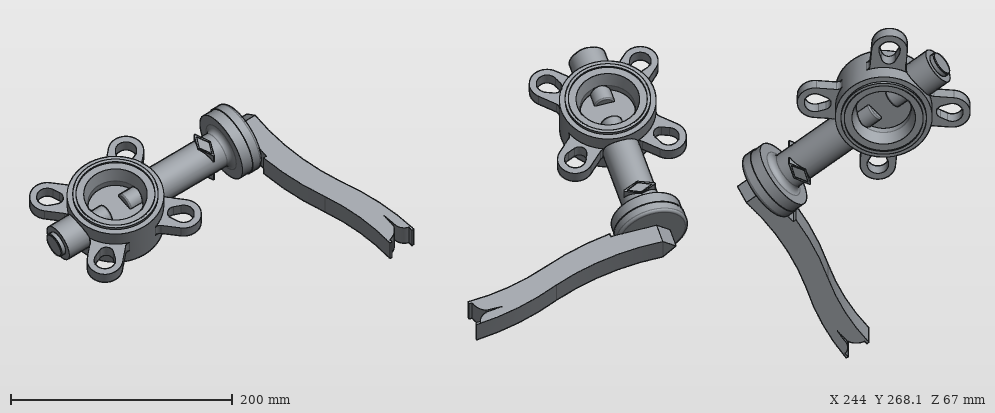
import cadquery as cq
import math


ring_radius = 43.7
ring_height = 43.0
lip_radius = 38.5
lip_height = 2.7
face_step_radius = 35.7
face_step_depth = 1.5
bore_mouth_radius = 28.7
bore_throat_radius = 25.0
throat_half_height = 9.5
half_height = ring_height / 2 + lip_height
seat_half_height = half_height - face_step_depth

disc_thickness = 5.4
stub_radius = 10.0
stub_gap = 19.3
stub_round = 1.3

lug_offset = 44.0
lug_radius = 16.0
lug_thickness = 12.3
lug_root_fillet = 5.4
slot_large_radius = 9.7
slot_small_radius = 6.7
slot_length = 7.8
lug_angles = (45, 135, 225, 315)
lug_distance = lug_offset * math.sqrt(2)

stem_radius = 17.2
stem_bottom = -64.0
plug_radius = 11.5
plug_length = 4.8
plug_chamfer = 0.8
neck_fillet = 6.0
flange_radius = 32.7
flange_bottom = 118.3
flange_top = 129.3

badge_center = 99.2
badge_half_width = 14.8
badge_half_height = 7.0
badge_tip_width = 1.0
badge_top = 18.2
badge_rim = 1.3
badge_recess = 0.5

hub_radius = 33.5
hub_thickness = 10.7
hub_round = 2.7
hub_top = flange_top + hub_thickness
handle_half_thickness = 11.8
handle_back = -16.4
handle_back_top = 159.0
handle_point_length = 12.5
handle_shoulder = handle_back + handle_point_length
notch_end = 39.5
notch_depth = 3.2
handle_end = 184.0
handle_end_top = 199.3
handle_end_bottom = 172.5
ear_thickness = 2.5

underside_bend_middle = (72.5, 143.8)
underside_inflection = (107.0, 155.8)
underside_tail_middle = (142.1, 167.0)
top_bend_middle = (51.0, 162.8)
top_inflection = (102.0, 177.5)
top_tail_middle = (139.5, 191.2)
slit_point = (156.0, 186.5)
upper_jaw_start = (167.4, 188.0)
upper_jaw_middle = (176.0, 191.0)
lower_jaw_start = (171.0, 186.5)
lower_jaw_middle = (177.3, 181.8)
lower_jaw_end = 180.8
upper_jaw_end = 179.7


def y_cylinder(radius, y_start, y_end):
    """Cylinder on the Y axis between two Y positions."""
    return cq.Workplane("XZ", origin=(0, y_start, 0)).circle(radius).extrude(y_start - y_end)


def make_ring_blank():
    """Solid ring blank with its four lugs and filleted lug roots."""
    blank = cq.Workplane("XY").circle(ring_radius).extrude(ring_height / 2, both=True)
    lug = (
        cq.Workplane("XY")
        .center(lug_distance / 2, 0)
        .rect(lug_distance, 2 * lug_radius)
        .extrude(lug_thickness / 2, both=True)
        .union(
            cq.Workplane("XY")
            .center(lug_distance, 0)
            .circle(lug_radius)
            .extrude(lug_thickness / 2, both=True)
        )
    )
    for lug_angle in lug_angles:
        blank = blank.union(lug.rotate((0, 0, 0), (0, 0, 1), lug_angle))

    reach = 0.3
    root_x = math.sqrt(ring_radius**2 - lug_radius**2)
    root_angle = math.degrees(math.atan2(lug_radius, root_x))
    roots = cq.Workplane("XY")
    for lug_angle in lug_angles:
        for side in (-1, 1):
            angle = math.radians(lug_angle + side * root_angle)
            x = ring_radius * math.cos(angle)
            y = ring_radius * math.sin(angle)
            corner = cq.selectors.BoxSelector(
                (x - reach, y - reach, -lug_thickness),
                (x + reach, y + reach, lug_thickness),
            )
            roots = roots.add(blank.edges("|Z").edges(corner))
    return blank.newObject(roots.vals()).fillet(lug_root_fillet)


def make_lug_slot():
    """Tapered slot: the hull of a large outer and a small inner circle."""
    lean = math.asin((slot_large_radius - slot_small_radius) / slot_length)
    outer_x = lug_distance
    inner_x = lug_distance - slot_length
    sin_lean = math.sin(lean)
    cos_lean = math.cos(lean)
    outer_touch = (outer_x - slot_large_radius * sin_lean, slot_large_radius * cos_lean)
    inner_touch = (inner_x - slot_small_radius * sin_lean, slot_small_radius * cos_lean)
    return (
        cq.Workplane("XY")
        .moveTo(inner_touch[0], -inner_touch[1])
        .lineTo(outer_touch[0], -outer_touch[1])
        .threePointArc((outer_x + slot_large_radius, 0), outer_touch)
        .lineTo(*inner_touch)
        .threePointArc((inner_x - slot_small_radius, 0), (inner_touch[0], -inner_touch[1]))
        .close()
        .extrude(lug_thickness, both=True)
    )


def make_bore():
    """Bore with a straight throat and a mouth that flares out to each sunken face."""
    return (
        cq.Workplane("XZ")
        .moveTo(0, -seat_half_height)
        .lineTo(bore_mouth_radius, -seat_half_height)
        .lineTo(bore_throat_radius, -throat_half_height)
        .lineTo(bore_throat_radius, throat_half_height)
        .lineTo(bore_mouth_radius, seat_half_height)
        .lineTo(0, seat_half_height)
        .close()
        .revolve(360, (0, 0, 0), (0, 1, 0))
    )


def make_stem():
    """Stem with the bottom plug, and a neck flange joined by a fillet."""
    fillet_bottom = flange_bottom - neck_fillet
    plug_bottom = stem_bottom - plug_length
    return (
        cq.Workplane("XY")
        .moveTo(0, plug_bottom)
        .lineTo(plug_radius - plug_chamfer, plug_bottom)
        .lineTo(plug_radius, plug_bottom + plug_chamfer)
        .lineTo(plug_radius, stem_bottom)
        .lineTo(stem_radius, stem_bottom)
        .lineTo(stem_radius, fillet_bottom)
        .tangentArcPoint((neck_fillet, neck_fillet))
        .lineTo(flange_radius, flange_bottom)
        .lineTo(flange_radius, flange_top)
        .lineTo(0, flange_top)
        .close()
        .revolve(360, (0, 0, 0), (0, 1, 0))
    )


def make_badge():
    """Diamond prism rising from the stem axis, with a shallow recessed face."""
    half_tip = badge_tip_width / 2
    badge = (
        cq.Workplane("XY")
        .polyline([
            (badge_half_width, -half_tip),
            (badge_half_width, half_tip),
            (0, badge_half_height),
            (-badge_half_width, half_tip),
            (-badge_half_width, -half_tip),
            (0, -badge_half_height),
        ])
        .close()
        .extrude(badge_top)
    )
    slope = math.atan2(badge_half_height, badge_half_width)
    recess_width = badge_half_width - badge_rim / math.sin(slope)
    recess_height = badge_half_height - badge_rim / math.cos(slope)
    recess = (
        cq.Workplane("XY", origin=(0, 0, badge_top - badge_recess))
        .polyline([(recess_width, 0), (0, recess_height), (-recess_width, 0), (0, -recess_height)])
        .close()
        .extrude(badge_recess)
    )
    return badge.cut(recess).translate((0, badge_center, 0))


def make_face_lip():
    """Raised sealing lip on the top face, with a shallow step inside it."""
    lip = cq.Workplane("XY", origin=(0, 0, ring_height / 2)).circle(lip_radius).extrude(lip_height)
    step = (
        cq.Workplane("XY", origin=(0, 0, seat_half_height))
        .circle(face_step_radius)
        .extrude(face_step_depth)
    )
    return lip.cut(step)


def make_valve():
    """Valve: ring with lugs, stem and flange, badges, closing disc and stubs."""
    valve = make_ring_blank().union(make_stem())

    badge = make_badge()
    valve = valve.union(badge).union(badge.mirror("XY"))

    lip = make_face_lip()
    valve = valve.union(lip).union(lip.mirror("XY"))

    valve = valve.cut(make_bore())
    slot = make_lug_slot()
    for lug_angle in lug_angles:
        valve = valve.cut(slot.rotate((0, 0, 0), (0, 0, 1), lug_angle))

    disc = cq.Workplane("XY").circle(bore_throat_radius).extrude(disc_thickness / 2, both=True)
    valve = valve.union(disc)

    wall_middle = (bore_mouth_radius + ring_radius) / 2
    stub = y_cylinder(stub_radius, stub_gap / 2, wall_middle).faces("<Y").edges().fillet(stub_round)
    return valve.union(stub).union(stub.mirror("XZ"))


def make_handle():
    """Curved handle with a pointed back end and an open forked tip."""
    handle = (
        cq.Workplane("XY")
        .moveTo(handle_back, hub_top)
        .lineTo(notch_end, hub_top)
        .lineTo(notch_end, hub_top - notch_depth)
        .threePointArc(underside_bend_middle, underside_inflection)
        .threePointArc(underside_tail_middle, (handle_end, handle_end_bottom))
        .lineTo(handle_end, handle_end_bottom + ear_thickness)
        .lineTo(lower_jaw_end, handle_end_bottom + ear_thickness)
        .threePointArc(lower_jaw_middle, lower_jaw_start)
        .lineTo(*slit_point)
        .lineTo(*upper_jaw_start)
        .threePointArc(upper_jaw_middle, (upper_jaw_end, handle_end_top - ear_thickness))
        .lineTo(handle_end, handle_end_top - ear_thickness)
        .lineTo(handle_end, handle_end_top)
        .threePointArc(top_tail_middle, top_inflection)
        .threePointArc(top_bend_middle, (handle_shoulder, handle_back_top))
        .lineTo(handle_back, handle_back_top)
        .close()
        .extrude(handle_half_thickness, both=True)
    )
    height = handle_end_top - hub_top + notch_depth
    corner = (
        cq.Workplane("XZ", origin=(0, hub_top - notch_depth, 0))
        .polyline([
            (handle_back, 0),
            (handle_shoulder, handle_half_thickness),
            (handle_back, handle_half_thickness),
        ])
        .close()
        .extrude(-height)
    )
    return handle.cut(corner).cut(corner.mirror("XY"))


def make_lever():
    """Lever: round hub resting on the neck flange, with the handle on top."""
    hub = y_cylinder(hub_radius, flange_top, hub_top).faces(">Y").edges().fillet(hub_round)
    return hub.union(make_handle())


valve = make_valve()
lever = make_lever()

result = cq.Compound.makeCompound([valve.val(), lever.val()])